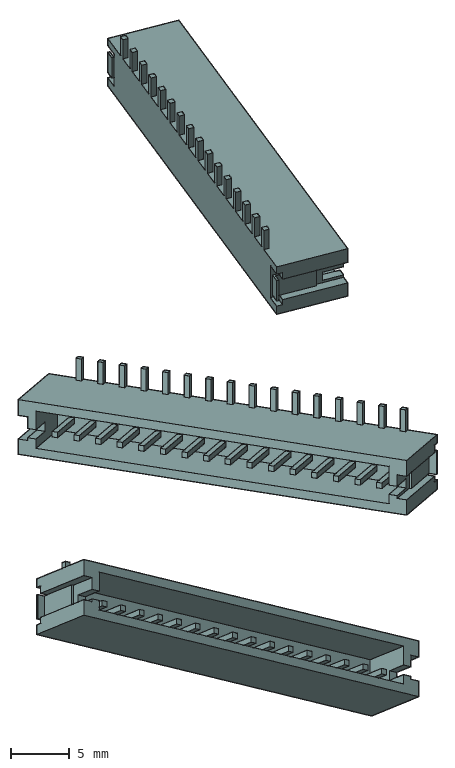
import cadquery as cq

pin_count = 16
pitch = 2.0
length = 35.95
depth = 6.6
height = 5.0

wire = 0.5
tail_length = 2.0
contact_bottom = 1.65
contact_tip_inset = 1.0

end_wall = 1.65
roof_wall = 0.8
floor_wall = 0.8
back_wall = 1.95

groove_depth = 0.88
groove_bottom = 1.4
groove_top = 3.55
notch_depth = 1.95
notch_bottom = 1.65
notch_top = 2.5
pocket_width = 1.35
pocket_depth = 0.55
pocket_bottom = 0.87
pocket_top = 4.23

tab_thickness = 0.2
tab_back_inset = 2.6

half_length = length / 2
front = -depth / 2
back = depth / 2


def box(x0, x1, y0, y1, z0, z1):
    """Axis-aligned block between two opposite corners."""
    return cq.Workplane("XY").box(x1 - x0, y1 - y0, z1 - z0, centered=False).translate((x0, y0, z0))


def on_both_ends(left_shape):
    """The left-end shape joined with its mirror image at the right end."""
    return left_shape.union(left_shape.mirror("YZ"))


def make_housing():
    left = -half_length
    body = box(left, half_length, front, back, 0, height)
    cavity = box(
        left + end_wall, half_length - end_wall, front + back_wall, back, floor_wall, height - roof_wall
    )
    groove = box(left, left + groove_depth, front, back, groove_bottom, groove_top)
    notch = box(left, left + end_wall, back - notch_depth, back, notch_bottom, notch_top)
    pocket = box(left, left + pocket_width, front, front + pocket_depth, pocket_bottom, pocket_top)
    end_cuts = on_both_ends(groove.union(notch).union(pocket))
    return body.cut(cavity).cut(end_cuts)


def make_tabs():
    """A plate on each groove floor with a foot turned outward, flush with the front."""
    left = -half_length
    plate_inner = left + groove_depth
    plate = box(
        plate_inner - tab_thickness, plate_inner, front, back - tab_back_inset, groove_bottom, groove_top
    )
    foot = box(left, plate_inner, front, front + tab_thickness, groove_bottom, groove_top)
    return on_both_ends(plate.union(foot))


def make_contact(x):
    """Horizontal pin in the cavity and a vertical tail flush with the front face."""
    x0 = x - wire / 2
    x1 = x + wire / 2
    pin = box(x0, x1, front, back - contact_tip_inset, contact_bottom, contact_bottom + wire)
    tail = box(x0, x1, front, front + wire, contact_bottom, height + tail_length)
    return pin.union(tail)


result = make_housing().union(make_tabs())
first_pin_x = -pitch * (pin_count - 1) / 2
for index in range(pin_count):
    result = result.union(make_contact(first_pin_x + index * pitch))